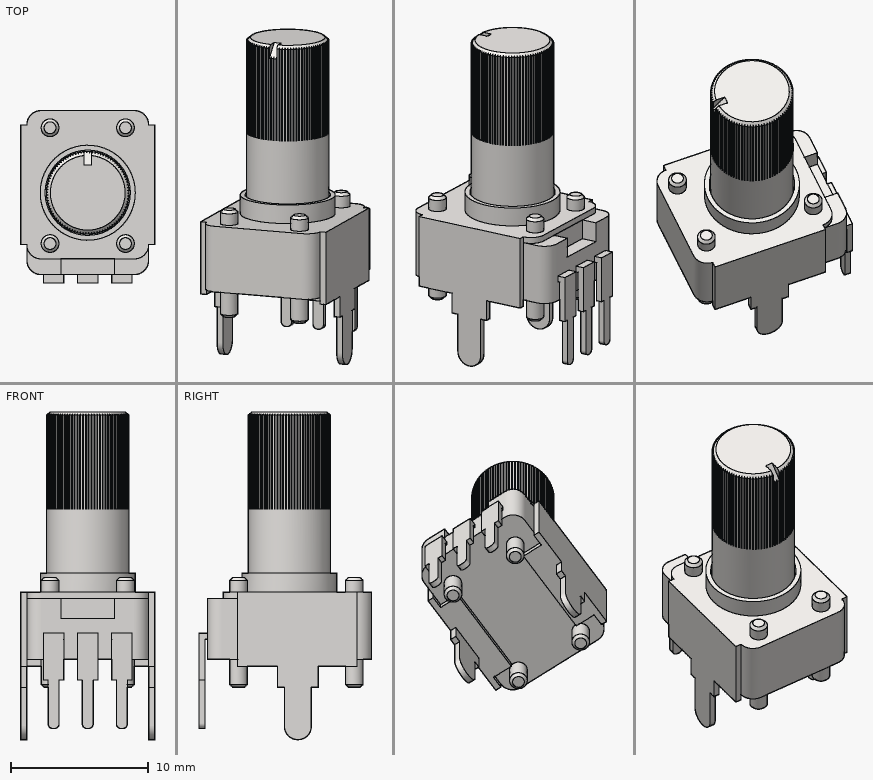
import cadquery as cq
import math

shaft_top = 13.1
leg_bottom = -10.7

frame_width = 9.75
sheet = 0.45
frame_back = 5.97
cover_front = -4.8
side_back = 4.93
side_front = -3.75
side_bottom = -5.38
tab_inner_x = 2.85
tab_setback = 0.95
leg_y = 0.62
leg_width = 1.98
shoulder_width = 2.98
shoulder_bottom = -6.9

body_width = frame_width - 2 * sheet
body_front = -5.95
body_bottom = -4.88
corner_radius = 1.05
pocket_width = 3.85
pocket_floor = -1.9
pocket_undercut = 0.02

pin_radius = 0.65
pin_chamfer = 0.21
pin_top = 1.07
pin_bottom = shoulder_bottom
pin_x = 2.74
pin_back_y = 4.71
pin_front_y = -3.7

collar_radius = 3.45
collar_top = 1.38
collar_clearance = 0.1
shaft_radius = 3.0
shaft_chamfer_height = 0.24
shaft_chamfer_width = 0.29
knurl_bottom = 6.05
knurl_count = 90
knurl_depth = 0.1
knurl_land_share = 0.65
index_width = 0.55
index_start_y = 2.02

terminal_pitch = 2.48
terminal_front = -6.57
terminal_top = -2.98
terminal_step = -6.38
terminal_bottom = -9.9
terminal_wide = 1.5
terminal_narrow = 0.8
terminal_tip_radius = 0.35


def block(x_range, y_range, z_range):
    """Box between the given limits along X, Y and Z."""
    (x0, x1), (y0, y1), (z0, z1) = x_range, y_range, z_range
    return cq.Workplane("XY").box(x1 - x0, y1 - y0, z1 - z0, centered=False).translate((x0, y0, z0))


def centred(width, middle=0.0):
    """Limits of a span of the given width about its middle."""
    return (middle - width / 2, middle + width / 2)


def rounded_block(y_range, z_range):
    """Box of the body's width with rounded vertical corners."""
    return block(centred(body_width), y_range, z_range).edges("|Z").fillet(corner_radius)


def make_body():
    body = rounded_block((body_front, frame_back), (body_bottom, -sheet))
    pocket_back = cover_front + pocket_undercut
    pocket = block(centred(pocket_width), (body_front, pocket_back), (pocket_floor, -sheet))
    return body.cut(pocket)


def make_side():
    """Side wall at +X with its mounting leg and the tab folded under the body."""
    outer_x = frame_width / 2
    wall_x = (outer_x - sheet, outer_x)
    side_y = (side_front, side_back)
    wall = block(wall_x, side_y, (side_bottom, 0))
    tab_y = (side_front + tab_setback, side_back - tab_setback)
    tab = block((tab_inner_x, outer_x), tab_y, (side_bottom, body_bottom))
    shoulder = block(wall_x, centred(shoulder_width, leg_y), (shoulder_bottom, side_bottom))
    round_centre = leg_bottom + leg_width / 2
    leg = block(wall_x, centred(leg_width, leg_y), (round_centre, shoulder_bottom))
    leg_end = (
        cq.Workplane("YZ", origin=(outer_x - sheet, leg_y, round_centre))
        .circle(leg_width / 2)
        .extrude(sheet)
    )
    return wall.union(tab).union(shoulder).union(leg).union(leg_end)


def make_frame():
    cover = rounded_block((cover_front, frame_back), (-sheet, 0))
    side = make_side()
    return cover.union(side).union(side.mirror("YZ"))


def make_pin(x, y):
    return (
        cq.Workplane("XY", origin=(x, y, pin_bottom))
        .circle(pin_radius)
        .extrude(pin_top - pin_bottom)
        .faces("<Z or >Z")
        .chamfer(pin_chamfer)
    )


def make_collar():
    """Ring around the shaft with a narrow running clearance."""
    return (
        cq.Workplane("XY")
        .circle(collar_radius)
        .circle(shaft_radius + collar_clearance)
        .extrude(collar_top)
    )


def make_terminal(x):
    """L-shaped lead: a short run out of the body, then a stepped blade pointing down."""
    blade_y = (terminal_front, terminal_front + sheet)
    root = block(
        centred(terminal_wide, x),
        (terminal_front, body_front),
        (terminal_top - sheet, terminal_top),
    )
    wide_blade = block(centred(terminal_wide, x), blade_y, (terminal_step, terminal_top))
    narrow_blade = (
        block(centred(terminal_narrow, x), blade_y, (terminal_bottom, terminal_step))
        .faces("<Z")
        .edges("|Y")
        .fillet(terminal_tip_radius)
    )
    return root.union(wide_blade).union(narrow_blade)


def rim_point(radius, angle):
    """Point at a radius and angle about the shaft axis."""
    return (radius * math.cos(angle), radius * math.sin(angle))


def knurl_profile():
    """Closed outline of round lands separated by V grooves."""
    pitch = 2 * math.pi / knurl_count
    land = knurl_land_share * pitch
    root_radius = shaft_radius - knurl_depth
    profile = cq.Workplane("XY", origin=(0, 0, knurl_bottom)).moveTo(shaft_radius, 0)
    for i in range(knurl_count):
        start = i * pitch
        land_middle = rim_point(shaft_radius, start + land / 2)
        land_end = rim_point(shaft_radius, start + land)
        profile = profile.threePointArc(land_middle, land_end)
        profile = profile.lineTo(*rim_point(root_radius, start + (land + pitch) / 2))
        if i < knurl_count - 1:
            profile = profile.lineTo(*rim_point(shaft_radius, start + pitch))
    return profile.close()


def make_shaft():
    plain = cq.Workplane("XY").circle(shaft_radius).extrude(knurl_bottom)
    knurled = knurl_profile().extrude(shaft_top - knurl_bottom)
    envelope = (
        cq.Workplane("XZ")
        .moveTo(0, 0)
        .lineTo(shaft_radius, 0)
        .lineTo(shaft_radius, shaft_top - shaft_chamfer_height)
        .lineTo(shaft_radius - shaft_chamfer_width, shaft_top)
        .lineTo(0, shaft_top)
        .close()
        .revolve(360, (0, 0, 0), (0, 1, 0))
    )
    notch_run = shaft_radius - index_start_y
    notch = (
        cq.Workplane("YZ")
        .moveTo(index_start_y, shaft_top)
        .lineTo(shaft_radius, shaft_top)
        .lineTo(shaft_radius, shaft_top - notch_run)
        .close()
        .extrude(index_width / 2, both=True)
    )
    return plain.union(knurled.intersect(envelope)).cut(notch)


result = make_body().union(make_frame())
for x in (-pin_x, pin_x):
    for y in (pin_front_y, pin_back_y):
        result = result.union(make_pin(x, y))
for position in (-1, 0, 1):
    result = result.union(make_terminal(position * terminal_pitch))
result = result.union(make_collar()).union(make_shaft())